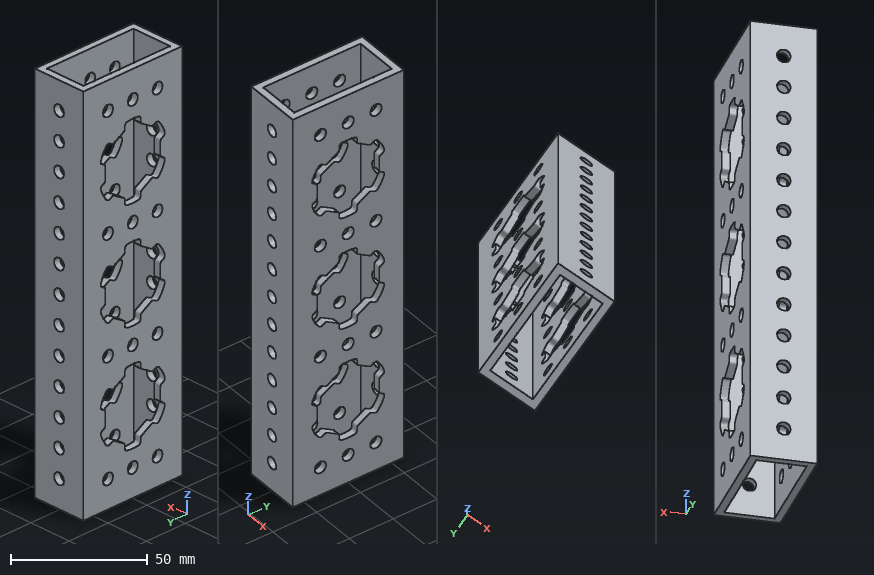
import cadquery as cq
import math

width = 25.4
depth = 50.8
height = 177.8
wall = 3.175

hole_pitch = 12.7
hole_diameter = 5.1
narrow_face_holes = 13
holes_per_row = 3

window_count = 3
window_pitch = 4 * hole_pitch
row_count = window_count + 1
lobe_count = 6
hexagon_flats = 28.4
lobe_tip_diameter = 35.0
lobe_width = 8.1
lobe_tip_radius = 1.4
lobe_root_radius = 1.0


def centered_positions(count, pitch):
    """Evenly spaced positions centred on zero."""
    return [(i - (count - 1) / 2) * pitch for i in range(count)]


def make_tube():
    outer = cq.Workplane("XY").box(width, depth, height)
    bore = cq.Workplane("XY").box(width - 2 * wall, depth - 2 * wall, height)
    return outer.cut(bore)


def make_narrow_face_holes():
    """Holes along Y through both narrow faces."""
    points = [(0, z) for z in centered_positions(narrow_face_holes, hole_pitch)]
    plane = cq.Workplane("XZ").pushPoints(points)
    return plane.circle(hole_diameter / 2).extrude(depth / 2, both=True)


def make_wide_face_holes():
    """Rows of holes along X through both wide faces."""
    points = [
        (y, z)
        for z in centered_positions(row_count, window_pitch)
        for y in centered_positions(holes_per_row, hole_pitch)
    ]
    plane = cq.Workplane("YZ").pushPoints(points)
    return plane.circle(hole_diameter / 2).extrude(width / 2, both=True)


def distance_from_axis(edge):
    """Distance of an edge's centre from the X axis."""
    return math.hypot(edge.Center().y, edge.Center().z)


def make_window():
    """Hexagon with a rounded lobe at each corner, running along X."""
    corner_diameter = hexagon_flats / math.cos(math.pi / lobe_count)
    hexagon = cq.Workplane("YZ").polygon(lobe_count, corner_diameter).extrude(width / 2, both=True)
    hexagon = hexagon.rotate((0, 0, 0), (1, 0, 0), 180 / lobe_count)

    bar_length = lobe_tip_diameter + lobe_width
    bar = cq.Workplane("XY").box(width, lobe_width, bar_length)
    lobes = bar
    for i in range(1, lobe_count // 2):
        lobes = lobes.union(bar.rotate((0, 0, 0), (1, 0, 0), i * 360 / lobe_count))
    tip_disc = cq.Workplane("YZ").circle(lobe_tip_diameter / 2).extrude(width / 2, both=True)
    window = hexagon.union(lobes.intersect(tip_disc))

    corner_radius = corner_diameter / 2
    roots = [e for e in window.edges("|X").vals() if distance_from_axis(e) < corner_radius]
    window = window.newObject(roots).fillet(lobe_root_radius)
    tips = [e for e in window.edges("|X").vals() if distance_from_axis(e) > corner_radius]
    return window.newObject(tips).fillet(lobe_tip_radius)


result = make_tube().cut(make_narrow_face_holes()).cut(make_wide_face_holes())
window = make_window()
for z in centered_positions(window_count, window_pitch):
    result = result.cut(window.translate((0, 0, z)))